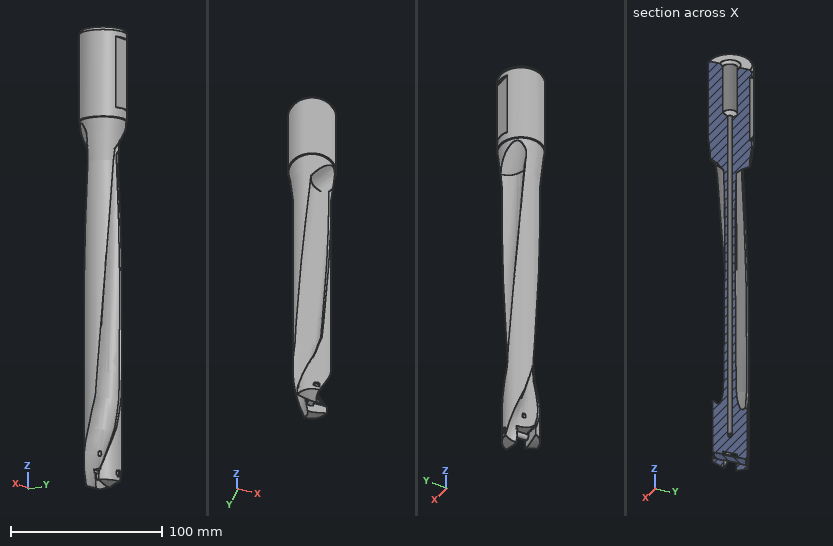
import cadquery as cq
import math

TOTAL_LENGTH = 309.7
SHANK_BOTTOM = 248.5
CONE_BOTTOM = 220.0
FLUTE_TOP = 228.0

SHANK_DIAMETER = 32.0
SHANK_RADIUS = SHANK_DIAMETER / 2
BODY_RADIUS = 12.7
SHOULDER_RADIUS = 15.5
SHANK_CHAMFER_DEPTH = 1.2
SHANK_CHAMFER_HEIGHT = 2.2
POINT_ANGLE = 140.0

FLAT_DEPTH = 1.5
FLAT_BOTTOM = 255.5
FLAT_TOP = 303.5

BORE_DIAMETER = 10.2
BORE_MOUTH_DIAMETER = 14.2
BORE_DEPTH = 37.2
BORE_TIP_ANGLE = 118.0
COOLANT_DIAMETER = 3.0
COOLANT_FOOT = 26.5
OUTLET_DIAMETER = 2.5
OUTLET_LENGTH = 10.8

FLUTE_TOP_DIRECTION = 25.0
HELIX_STATIONS = [
    (FLUTE_TOP, FLUTE_TOP_DIRECTION),
    (78.0, -28.0),
    (60.5, -34.0),
    (39.0, -60.0),
    (-3.0, -140.0),
]

FLUTE_COUNT = 2
FLUTE_HALF_ANGLE = 47.0
FLUTE_CORE = 4.0
FLUTE_FLOOR_START = 0.0
FLUTE_FLOOR_END = 2.2
LAND_CHAMFER_X = 1.2
LAND_CHAMFER_Y = 1.0
FLUTE_RIM_RADIUS = 24.8
RUNOUT_DIRECTION = 75.0
RUNOUT_HEIGHT = 24.8
RUNOUT_SHIFT = 18.5

SEAT_WIDTH = 8.7
SEAT_HEIGHT = 12.7
RELIEF_WIDTH = 10.2
RELIEF_HEIGHT = 2.2
SCREW_DIAMETER = 4.3
SCREW_TILT = 4.0
SCREW_Z = 8.5
SCREW_LENGTH = 23.0

CUT_MARGIN = 3.0
CUT_TOLERANCE = 0.001


def turned_blank():
    """Shank, tapered shoulder, fluted length and conical point in one revolved profile."""
    point_slope = 1 / math.tan(math.radians(POINT_ANGLE / 2))
    point_tip = -SEAT_WIDTH / 2 * point_slope
    return (
        cq.Workplane("XZ")
        .moveTo(0, point_tip)
        .lineTo(BODY_RADIUS, point_tip + BODY_RADIUS * point_slope)
        .lineTo(BODY_RADIUS, CONE_BOTTOM)
        .lineTo(SHOULDER_RADIUS, SHANK_BOTTOM)
        .lineTo(SHANK_RADIUS, SHANK_BOTTOM + SHANK_RADIUS - SHOULDER_RADIUS)
        .lineTo(SHANK_RADIUS, TOTAL_LENGTH - SHANK_CHAMFER_HEIGHT)
        .lineTo(SHANK_RADIUS - SHANK_CHAMFER_DEPTH, TOTAL_LENGTH)
        .lineTo(0, TOTAL_LENGTH)
        .close()
        .revolve(360, (0, 0, 0), (0, 1, 0))
    )


def shank_flat():
    return (
        cq.Workplane("XY")
        .box(2 * SHANK_RADIUS, SHANK_RADIUS, FLAT_TOP - FLAT_BOTTOM, centered=(True, False, False))
        .translate((0, SHANK_RADIUS - FLAT_DEPTH, FLAT_BOTTOM))
    )


def shank_bore():
    """Countersunk bore with a drilled end, running on into the coolant channel."""
    bore_radius = BORE_DIAMETER / 2
    coolant_radius = COOLANT_DIAMETER / 2
    mouth_radius = BORE_MOUTH_DIAMETER / 2
    bore_end = TOTAL_LENGTH - BORE_DEPTH
    drill_tip = (bore_radius - coolant_radius) / math.tan(math.radians(BORE_TIP_ANGLE / 2))
    return (
        cq.Workplane("XZ")
        .moveTo(0, TOTAL_LENGTH)
        .lineTo(mouth_radius, TOTAL_LENGTH)
        .lineTo(bore_radius, TOTAL_LENGTH - (mouth_radius - bore_radius))
        .lineTo(bore_radius, bore_end)
        .lineTo(coolant_radius, bore_end - drill_tip)
        .lineTo(coolant_radius, COOLANT_FOOT)
        .lineTo(0, COOLANT_FOOT)
        .close()
        .revolve(360, (0, 0, 0), (0, 1, 0))
    )


def coolant_outlet(side):
    """Oblique hole from the foot of the coolant channel into the flute on one side in X."""
    foot = cq.Vector(0, 0, COOLANT_FOOT)
    downwards = cq.Vector(side, 0, -1)
    return cq.Workplane(cq.Solid.makeCylinder(OUTLET_DIAMETER / 2, OUTLET_LENGTH, foot, downwards))


def floor_arc_middle(wall_x, wall_y, floor_x):
    """Middle point of the arc that meets the flute floor tangentially and ends on the wall."""
    run = wall_x - floor_x
    rise = wall_y + FLUTE_CORE
    radius = (run**2 + rise**2) / (2 * abs(rise))
    half_turn = math.atan2(abs(rise), abs(run))
    side = math.copysign(1, run)
    middle_x = floor_x + side * radius * math.sin(half_turn)
    middle_y = -FLUTE_CORE - radius * (1 - math.cos(half_turn))
    return middle_x, middle_y


def flute_profile(direction, height):
    """Cross-section of one flute: a flat floor, a round corner and a steep wall."""
    rim_x = BODY_RADIUS * math.sin(math.radians(FLUTE_HALF_ANGLE))
    rim_y = -BODY_RADIUS * math.cos(math.radians(FLUTE_HALF_ANGLE))
    wall_x = rim_x - LAND_CHAMFER_X
    wall_y = rim_y + LAND_CHAMFER_Y
    outer_x = rim_x * FLUTE_RIM_RADIUS / BODY_RADIUS
    outer_y = rim_y * FLUTE_RIM_RADIUS / BODY_RADIUS
    return (
        cq.Workplane("XY", origin=(0, 0, height))
        .transformed(rotate=(0, 0, direction))
        .moveTo(-outer_x, outer_y)
        .lineTo(-rim_x, rim_y)
        .lineTo(-wall_x, wall_y)
        .threePointArc(floor_arc_middle(-wall_x, wall_y, FLUTE_FLOOR_START), (FLUTE_FLOOR_START, -FLUTE_CORE))
        .lineTo(FLUTE_FLOOR_END, -FLUTE_CORE)
        .threePointArc(floor_arc_middle(wall_x, wall_y, FLUTE_FLOOR_END), (wall_x, wall_y))
        .lineTo(rim_x, rim_y)
        .lineTo(outer_x, outer_y)
        .close()
    )


def flute_stage(bottom, bottom_direction, top, top_direction):
    return flute_profile(bottom_direction, bottom).twistExtrude(
        top - bottom, top_direction - bottom_direction
    )


def flute_runout():
    """The flute leaves the shoulder sideways above its straight end."""
    angle = math.radians(RUNOUT_DIRECTION)
    lower = flute_profile(FLUTE_TOP_DIRECTION, FLUTE_TOP).wires().val()
    upper = lower.translate(
        cq.Vector(RUNOUT_SHIFT * math.sin(angle), -RUNOUT_SHIFT * math.cos(angle), RUNOUT_HEIGHT)
    )
    return cq.Workplane(cq.Solid.makeLoft([lower, upper], True))


def flute_cutters():
    """Helical stages of one flute from the shoulder to the tip, and its runout."""
    stages = [flute_runout()]
    for (top, top_direction), (bottom, bottom_direction) in zip(HELIX_STATIONS, HELIX_STATIONS[1:]):
        stages.append(flute_stage(bottom, bottom_direction, top, top_direction))
    return stages


def insert_seat():
    slot = (
        cq.Workplane("XY")
        .box(4 * BODY_RADIUS, SEAT_WIDTH, SEAT_HEIGHT + CUT_MARGIN, centered=(True, True, False))
        .translate((0, 0, -CUT_MARGIN))
    )
    relief = (
        cq.Workplane("XY")
        .box(4 * BODY_RADIUS, RELIEF_WIDTH, RELIEF_HEIGHT, centered=(True, True, False))
        .translate((0, 0, SEAT_HEIGHT - RELIEF_HEIGHT))
    )
    return slot.union(relief)


def along_screw(length):
    """Cylinder of the screw diameter on the slightly tilted screw axis, centred on the insert seat."""
    start = cq.Workplane("XZ", origin=(0, length / 2, SCREW_Z))
    cylinder = start.circle(SCREW_DIAMETER / 2).extrude(length)
    return cylinder.rotate((0, 0, 0), (0, 0, 1), -SCREW_TILT)


def drill_body():
    body = turned_blank().cut(shank_flat()).cut(shank_bore())
    for side in (-1, 1):
        body = body.cut(coolant_outlet(side))
    for index in range(FLUTE_COUNT):
        turn = index * 360 / FLUTE_COUNT
        for cutter in flute_cutters():
            body = body.cut(cutter.rotate((0, 0, 0), (0, 0, 1), turn), tol=CUT_TOLERANCE)
    return body.cut(insert_seat()).cut(along_screw(2 * BODY_RADIUS))


drill = drill_body()
screw = along_screw(SCREW_LENGTH)

result = cq.Compound.makeCompound([drill.val(), screw.val()])